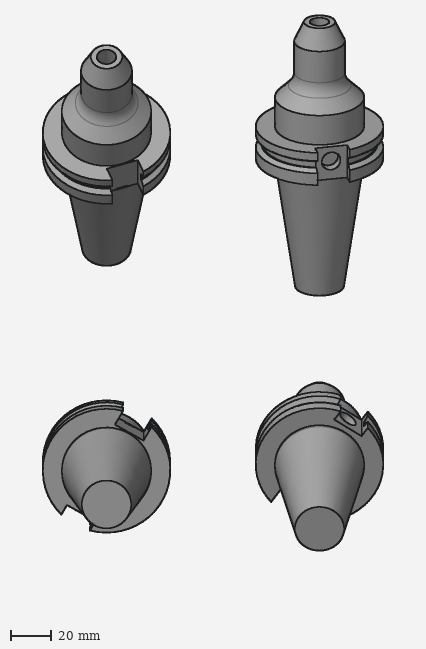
import cadquery as cq
import math

gauge_diameter = 44.45
shank_length = 68.25
taper_ratio = 7 / 24
gauge_radius = gauge_diameter / 2
shank_end_radius = gauge_radius - shank_length * taper_ratio / 2

flange_radius = 63.5 / 2
flange_bottom = 1.3
flange_top = 19.05

groove_center = 11.18
groove_root_radius = 56.36 / 2
groove_root_width = 3.5
groove_half_angle = math.radians(30)
groove_root_low = groove_center - groove_root_width / 2
groove_root_high = groove_center + groove_root_width / 2
groove_step_radius = 28.9
groove_flare = (flange_radius - groove_step_radius) * math.tan(groove_half_angle)

projection = 76.2
body_top = 35.05
neck_radius = 12.7
tip_radius = 7.8
tip_length = 10.45
shoulder_angle = math.radians(45)
neck_fillet_radius = 10.0
tip_start = projection - tip_length
shoulder_top_radius = neck_radius + neck_fillet_radius * (1 - math.cos(shoulder_angle))
shoulder_top = body_top + (gauge_radius - shoulder_top_radius) / math.tan(shoulder_angle)
neck_start = shoulder_top + neck_fillet_radius * math.sin(shoulder_angle)
fillet_middle_radius = neck_radius + neck_fillet_radius * (1 - math.cos(shoulder_angle / 2))
fillet_middle_height = neck_start - neck_fillet_radius * math.sin(shoulder_angle / 2)

bore_diameter = 9.525
bore_depth = 38.1

slot_width = 16.38
slot_floor_minus_x = 25.1
slot_floor_plus_x = 22.6
slot_hole_diameter = 9.525
slot_hole_depth = 5.2


def turned_body():
    """Solid of revolution with the shank, flange, shoulder and tip."""
    profile = (
        cq.Workplane("XZ")
        .moveTo(0, -shank_length)
        .lineTo(shank_end_radius, -shank_length)
        .lineTo(gauge_radius, 0)
        .lineTo(gauge_radius, flange_bottom)
        .lineTo(flange_radius, flange_bottom)
        .lineTo(flange_radius, groove_root_low - groove_flare)
        .lineTo(groove_step_radius, groove_root_low)
        .lineTo(groove_root_radius, groove_root_low)
        .lineTo(groove_root_radius, groove_root_high)
        .lineTo(groove_step_radius, groove_root_high)
        .lineTo(flange_radius, groove_root_high + groove_flare)
        .lineTo(flange_radius, flange_top)
        .lineTo(gauge_radius, flange_top)
        .lineTo(gauge_radius, body_top)
        .lineTo(shoulder_top_radius, shoulder_top)
        .threePointArc((fillet_middle_radius, fillet_middle_height), (neck_radius, neck_start))
        .lineTo(neck_radius, tip_start)
        .lineTo(tip_radius, projection)
        .lineTo(0, projection)
        .close()
    )
    return profile.revolve(360, (0, 0, 0), (0, 1, 0))


def drive_slot(side, floor_distance):
    """Cutter for one slot through the flange height; side is -1 or +1 along X."""
    depth = flange_radius - floor_distance
    height = flange_top - flange_bottom
    center_x = side * (floor_distance + depth / 2)
    center_z = (flange_top + flange_bottom) / 2
    return cq.Workplane("XY").box(depth, slot_width, height).translate((center_x, 0, center_z))


def tool_bore():
    """Cutter for the blind bore down from the tip face."""
    return cq.Workplane("XY", origin=(0, 0, projection)).circle(bore_diameter / 2).extrude(-bore_depth)


def slot_hole():
    """Cutter for the blind hole into the floor of the -X slot."""
    floor_plane = cq.Workplane("YZ", origin=(-slot_floor_minus_x, 0, groove_center))
    return floor_plane.circle(slot_hole_diameter / 2).extrude(slot_hole_depth)


result = turned_body()
for side, floor_distance in ((-1, slot_floor_minus_x), (1, slot_floor_plus_x)):
    result = result.cut(drive_slot(side, floor_distance))
result = result.cut(tool_bore()).cut(slot_hole())